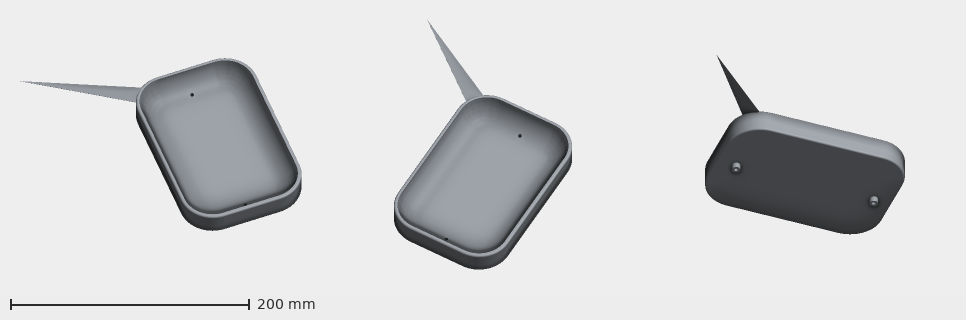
import cadquery as cq

straight_x = 99.9
straight_y = 50.0
corner_radius = 28.0
dish_height = 20.0
edge_radius = 1.7

wall = 3.0
floor_thickness = 2.0
bowl_radius = dish_height - floor_thickness

peg_spacing = 123.4
peg_diameter = 7.2
peg_height = 5.0
hole_diameter = 3.0
peg_places = [(-peg_spacing / 2, 0), (peg_spacing / 2, 0)]

spike_tip = (-128.3, -128.3, 0.5)
spike_root_left = (-71.5, -40.8, 19.8)
spike_root_right = (-59.6, -50.5, 18.5)
spike_thickness = 0.2


def rounded_block(radius, height):
    """Upright block whose corners have this radius about the shared corner centres."""
    return (
        cq.Workplane("XY")
        .rect(straight_x + 2 * radius, straight_y + 2 * radius)
        .extrude(height)
        .edges("|Z")
        .fillet(radius)
    )


def make_cavity():
    block = rounded_block(corner_radius - wall, 2 * bowl_radius)
    return block.faces("<Z").edges().fillet(bowl_radius).translate((0, 0, floor_thickness))


def make_spike():
    outline = cq.Wire.makePolygon([spike_tip, spike_root_right, spike_root_left], close=True)
    return cq.Solid.extrudeLinear(outline, [], cq.Vector(0, 0, spike_thickness))


def make_dish():
    outside = rounded_block(corner_radius, dish_height)
    outside = outside.faces("<Z or >Z").edges().fillet(edge_radius)
    holes = cq.Workplane("XY").pushPoints(peg_places).circle(hole_diameter / 2).extrude(dish_height)
    return outside.union(make_spike()).cut(make_cavity()).cut(holes)


def make_peg(place):
    return (
        cq.Workplane("XY")
        .center(*place)
        .circle(peg_diameter / 2)
        .circle(hole_diameter / 2)
        .extrude(-peg_height)
    )


dish = make_dish()
pegs = [make_peg(place) for place in peg_places]

result = cq.Compound.makeCompound([*dish.vals(), *[peg.val() for peg in pegs]])